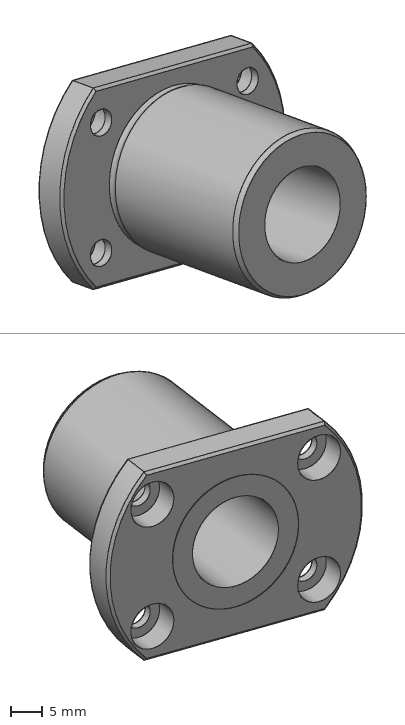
import cadquery as cq

FLANGE_DIAMETER = 47.8
FLANGE_HEIGHT = 34.0
FLANGE_THICKNESS = 6.0
FLANGE_CHAMFER = 0.5

OVERALL_LENGTH = 37.0
SLEEVE_DIAMETER = 28.0
BORE_DIAMETER = 16.0
END_CHAMFER_LENGTH = 0.9
END_CHAMFER_DEPTH = 0.5

RECESS_DIAMETER = 23.5
RECESS_DEPTH = 0.1

RELIEF_WIDTH = 1.65
RELIEF_DEPTH = 0.4
RELIEF_DEPTH_AT_FLANGE = 0.215
RELIEF_LOW_POINT = 0.65

HOLE_DIAMETER = 4.5
HOLE_SPACING_Y = 31.1
HOLE_SPACING_Z = 22.0
COUNTERBORE_DIAMETER = 8.0
COUNTERBORE_DEPTH = 4.4

SLEEVE_RADIUS = SLEEVE_DIAMETER / 2


def make_flange():
    """Flange with its outer face on X = 0, chamfered all round on both faces."""
    disc = cq.Workplane("YZ").circle(FLANGE_DIAMETER / 2).extrude(FLANGE_THICKNESS)
    flats = cq.Workplane("YZ").rect(FLANGE_DIAMETER, FLANGE_HEIGHT).extrude(FLANGE_THICKNESS)
    return disc.intersect(flats).faces("<X or >X").chamfer(FLANGE_CHAMFER)


def make_sleeve():
    """Solid of revolution about X, with the relief groove and the chamfered far end."""
    relief_start = (FLANGE_THICKNESS, SLEEVE_RADIUS - RELIEF_DEPTH_AT_FLANGE)
    relief_bottom = (FLANGE_THICKNESS + RELIEF_LOW_POINT, SLEEVE_RADIUS - RELIEF_DEPTH)
    relief_end = (FLANGE_THICKNESS + RELIEF_WIDTH, SLEEVE_RADIUS)
    profile = (
        cq.Workplane("XY")
        .lineTo(0, SLEEVE_RADIUS - RELIEF_DEPTH_AT_FLANGE)
        .lineTo(*relief_start)
        .threePointArc(relief_bottom, relief_end)
        .lineTo(OVERALL_LENGTH - END_CHAMFER_LENGTH, SLEEVE_RADIUS)
        .lineTo(OVERALL_LENGTH, SLEEVE_RADIUS - END_CHAMFER_DEPTH)
        .lineTo(OVERALL_LENGTH, 0)
        .close()
    )
    return profile.revolve(360, (0, 0, 0), (1, 0, 0))


def make_bore():
    """Through-bore cutter with the wider seal recess at the flange face."""
    bore = cq.Workplane("YZ").circle(BORE_DIAMETER / 2).extrude(OVERALL_LENGTH)
    recess = cq.Workplane("YZ").circle(RECESS_DIAMETER / 2).extrude(RECESS_DEPTH)
    return bore.union(recess)


def make_mounting_holes():
    """Four stepped cutters, counterbored from the outer face of the flange."""
    pattern = cq.Workplane("YZ").rarray(HOLE_SPACING_Y, HOLE_SPACING_Z, 2, 2)
    through_holes = pattern.circle(HOLE_DIAMETER / 2).extrude(FLANGE_THICKNESS)
    counterbores = pattern.circle(COUNTERBORE_DIAMETER / 2).extrude(COUNTERBORE_DEPTH)
    return through_holes.union(counterbores)


result = make_flange().union(make_sleeve()).cut(make_bore()).cut(make_mounting_holes())